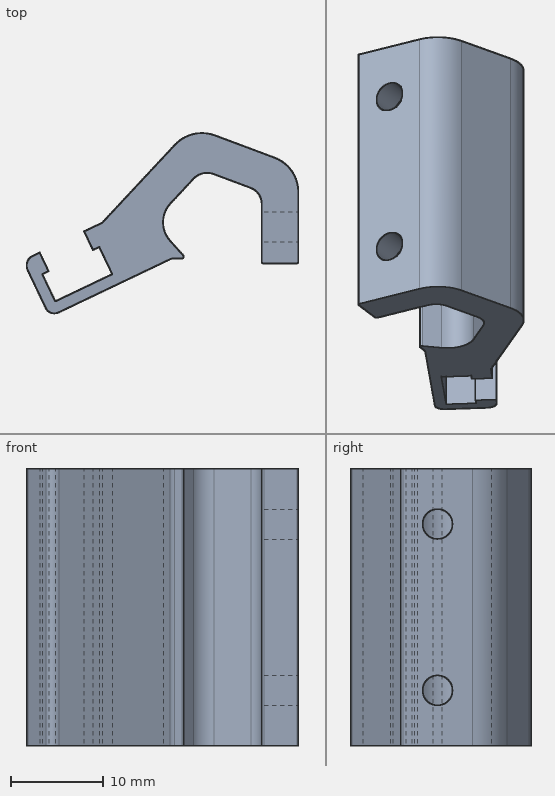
import cadquery as cq
import math

length = 30.0
arm_thickness = 4.0
leg_outer_x = 29.43
leg_end_y = 5.43
shoulder_y = 15.93
roof_angle = 20.5
diagonal_angle = 47.0
outer_shoulder_radius = 4.0
inner_shoulder_radius = 1.8
outer_peak_radius = 4.0
inner_peak_radius = 2.0

clip_angle = 25.5
clip_x, clip_y = 2.52, -0.33
clip_wall = 1.25
ledge_height = 4.5
clip_height = 6.75
lip_end = 2.0
block_lip_start = 7.32
block_start = 8.07
block_top_end = 9.5
clip_corner_radius = 1.05
lip_corner_radius = 1.17

tip_x, tip_y = 17.28, 5.97
tip_side_angle = 48.0
small_edge_radius = 0.2
tip_flat_radius = 1.05
throat_radius = 3.0

hole_diameter = 3.25
hole_y = 9.42
hole_end_distance = 6.0


def direction(angle):
    return math.cos(math.radians(angle)), math.sin(math.radians(angle))


def clip_point(along, up):
    """Convert a position in the tilted clip frame to X, Y."""
    c, s = direction(clip_angle)
    return clip_x + along * c - up * s, clip_y + along * s + up * c


def crossing(point_a, angle_a, point_b, angle_b):
    """Intersect two lines, each given by a point and an angle."""
    ca, sa = direction(angle_a)
    cb, sb = direction(angle_b)
    dx = point_b[0] - point_a[0]
    dy = point_b[1] - point_a[1]
    distance = (dx * sb - dy * cb) / (ca * sb - sa * cb)
    return point_a[0] + distance * ca, point_a[1] + distance * sa


def inward(point, angle):
    """Shift a point by the arm thickness, to the right of a direction."""
    c, s = direction(angle)
    return point[0] + arm_thickness * s, point[1] - arm_thickness * c


leg_inner_x = leg_outer_x - arm_thickness
leg_inner_end = (leg_inner_x, leg_end_y)
leg_outer_end = (leg_outer_x, leg_end_y)
shoulder = (leg_outer_x, shoulder_y)
block_top = clip_point(block_top_end, clip_height)
peak = crossing(block_top, diagonal_angle, shoulder, -roof_angle)
inner_roof = inward(shoulder, -roof_angle)
inner_diagonal = inward(block_top, diagonal_angle)
inner_shoulder = crossing(inner_roof, -roof_angle, leg_inner_end, 90)
inner_peak = crossing(inner_roof, -roof_angle, inner_diagonal, diagonal_angle)
tip = (tip_x, tip_y)
throat = crossing(tip, -tip_side_angle, inner_diagonal, diagonal_angle)
tip_flat_start = crossing(tip, 0, (clip_x, clip_y), clip_angle)
clip_corner = clip_point(0, 0)
lip_corner = clip_point(0, clip_height)

outline = [
    clip_corner,
    tip_flat_start,
    tip,
    throat,
    inner_peak,
    inner_shoulder,
    leg_inner_end,
    leg_outer_end,
    shoulder,
    peak,
    block_top,
    clip_point(block_lip_start, clip_height),
    clip_point(block_lip_start, ledge_height),
    clip_point(block_start, ledge_height),
    clip_point(block_start, clip_wall),
    clip_point(clip_wall, clip_wall),
    clip_point(clip_wall, ledge_height),
    clip_point(lip_end, ledge_height),
    clip_point(lip_end, clip_height),
    lip_corner,
]
profile = cq.Workplane("XY").polyline(outline).close().extrude(length)

rounded_corners = [
    (clip_corner, clip_corner_radius),
    (lip_corner, lip_corner_radius),
    (tip, small_edge_radius),
    (tip_flat_start, tip_flat_radius),
    (throat, throat_radius),
    (inner_peak, inner_peak_radius),
    (inner_shoulder, inner_shoulder_radius),
    (peak, outer_peak_radius),
    (shoulder, outer_shoulder_radius),
    (leg_inner_end, small_edge_radius),
    (leg_outer_end, small_edge_radius),
]
for (x, y), radius in rounded_corners:
    nearest_edge = cq.selectors.NearestToPointSelector((x, y, length / 2))
    profile = profile.edges("|Z").edges(nearest_edge).fillet(radius)

holes = (
    cq.Workplane("YZ", origin=(leg_inner_x, 0, 0))
    .pushPoints([(hole_y, hole_end_distance), (hole_y, length - hole_end_distance)])
    .circle(hole_diameter / 2)
    .extrude(arm_thickness)
)
result = profile.cut(holes)